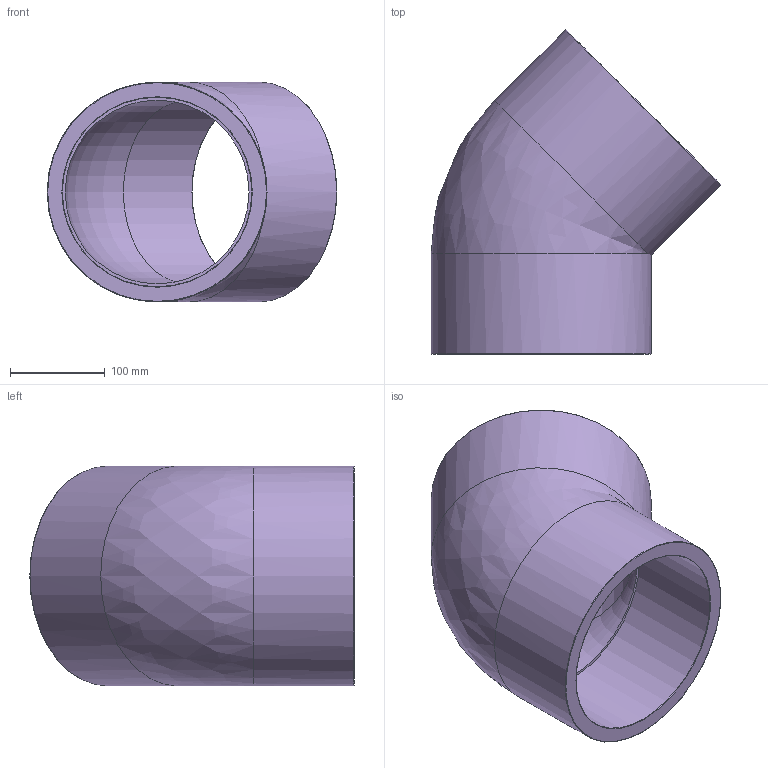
import cadquery as cq
import math

OUTER_DIAMETER = 232.0
SOCKET_DIAMETER = 200.0
BEND_BORE_DIAMETER = 194.0
SOCKET_DEPTH = 106.0
MOUTH_ROUNDING = 0.5
BEND_RADIUS = 112.36
BEND_ANGLE = 45.0

BEND_TANGENT = BEND_RADIUS * math.tan(math.radians(BEND_ANGLE / 2))


def pipe_leg():
    """Outside of the inlet leg: along Y, from its rounded mouth rim to the bend start at y = 0."""
    leg = cq.Workplane("XZ").circle(OUTER_DIAMETER / 2).extrude(SOCKET_DEPTH)
    return leg.faces("<Y").edges().fillet(MOUTH_ROUNDING)


def socket_bore():
    """Space inside the inlet leg, flaring out at the mouth in a rounded lead-in."""
    radius = SOCKET_DIAMETER / 2
    flare_radius = radius + MOUTH_ROUNDING
    flare_start = -SOCKET_DEPTH + MOUTH_ROUNDING
    arc_offset = MOUTH_ROUNDING * math.sqrt(0.5)
    arc_middle = (flare_radius - arc_offset, flare_start - arc_offset)
    return (
        cq.Workplane("XY")
        .lineTo(radius, 0)
        .lineTo(radius, flare_start)
        .threePointArc(arc_middle, (flare_radius, -SOCKET_DEPTH))
        .lineTo(0, -SOCKET_DEPTH)
        .close()
        .revolve(360, (0, 0, 0), (0, 1, 0))
    )


def swing_to_outlet(inlet_leg):
    """Copy of the inlet leg mirrored across the bend's middle plane, forming the outlet leg."""
    flipped = inlet_leg.mirror("XZ")
    pivot = (BEND_RADIUS, 0, 0)
    pivot_axis_end = (BEND_RADIUS, 0, 1)
    return flipped.rotate(pivot, pivot_axis_end, -BEND_ANGLE)


def bend(diameter):
    """Round section swung about the pivot axis, cut off where it would pass that axis."""
    radius = diameter / 2
    if radius <= BEND_RADIUS:
        section = cq.Workplane("XZ").circle(radius)
    else:
        half_chord = math.sqrt(radius**2 - BEND_RADIUS**2)
        section = (
            cq.Workplane("XZ")
            .moveTo(BEND_RADIUS, -half_chord)
            .threePointArc((-radius, 0), (BEND_RADIUS, half_chord))
            .close()
        )
    return section.revolve(BEND_ANGLE, (BEND_RADIUS, 1, 0), (BEND_RADIUS, 0, 0))


def elbow(inlet, bend_diameter):
    """The given inlet leg and its outlet copy, joined by the bend, as a solid body."""
    return inlet.union(bend(bend_diameter)).union(swing_to_outlet(inlet))


body = elbow(pipe_leg(), OUTER_DIAMETER)
bore = elbow(socket_bore(), BEND_BORE_DIAMETER)

result = body.cut(bore).translate((0, -BEND_TANGENT, 0))